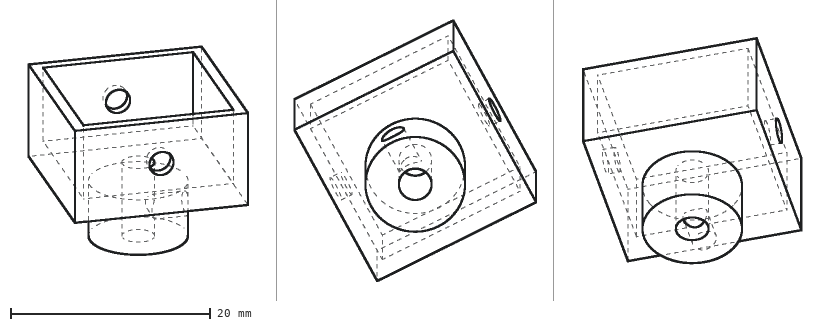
import cadquery as cq

box_side = 18.0
wall = 1.2
floor_thickness = 2.0
wall_height = 8.01
stem_diameter = 10.0
stem_length = 6.0
bore_diameter = 3.3
cross_hole_diameter = 2.5
cross_hole_height = 3.5
screw_hole_diameter = 2.5

box_height = floor_thickness + wall_height
cavity_side = box_side - 2 * wall
cross_hole_z = floor_thickness + cross_hole_height
screw_hole_z = -stem_length / 2

box = cq.Workplane("XY").rect(box_side, box_side).extrude(box_height)
cavity = (
    cq.Workplane("XY")
    .workplane(offset=floor_thickness)
    .rect(cavity_side, cavity_side)
    .extrude(wall_height)
)

stem = cq.Workplane("XY").circle(stem_diameter / 2).extrude(-stem_length)

bore = (
    cq.Workplane("XY")
    .workplane(offset=-stem_length)
    .circle(bore_diameter / 2)
    .extrude(stem_length + floor_thickness)
)

cross_hole = (
    cq.Workplane("YZ")
    .center(0, cross_hole_z)
    .circle(cross_hole_diameter / 2)
    .extrude(box_side / 2, both=True)
)

screw_hole = (
    cq.Workplane("XZ")
    .center(0, screw_hole_z)
    .circle(screw_hole_diameter / 2)
    .extrude(-stem_diameter / 2)
)

result = box.union(stem).cut(cavity).cut(bore).cut(cross_hole).cut(screw_hole)